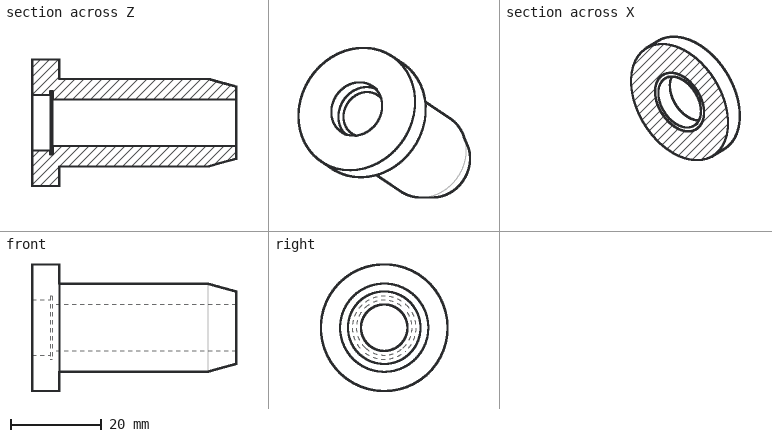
import cadquery as cq

total_length = 45.0
flange_diameter = 28.0
flange_thickness = 6.0
body_diameter = 19.47
tip_length = 6.3
tip_diameter = 16.0
bore_diameter = 10.2
recess_diameter = 12.2
recess_depth = 4.5
groove_diameter = 14.0
groove_width = 0.5
seam_angle = 135.0

flange_radius = flange_diameter / 2
body_radius = body_diameter / 2
tip_start = total_length - tip_length
tip_radius = tip_diameter / 2


def make_outer_body():
    """Flange, cylindrical shank and conical lead-in tip, revolved about X."""
    half_section = [
        (0, 0),
        (0, flange_radius),
        (flange_thickness, flange_radius),
        (flange_thickness, body_radius),
        (tip_start, body_radius),
        (total_length, tip_radius),
        (total_length, 0),
    ]
    outline = cq.Workplane("XY").polyline(half_section).close()
    return outline.revolve(360, (0, 0, 0), (1, 0, 0))


def axial_cylinder(diameter, start, end):
    """Cylinder on the part axis between two X positions."""
    return cq.Workplane("YZ", origin=(start, 0, 0)).circle(diameter / 2).extrude(end - start)


through_bore = axial_cylinder(bore_diameter, 0, total_length)
recess = axial_cylinder(recess_diameter, 0, recess_depth)
groove = axial_cylinder(groove_diameter, recess_depth - groove_width, recess_depth)

bushing = make_outer_body().cut(through_bore).cut(recess).cut(groove)
result = bushing.rotate((0, 0, 0), (1, 0, 0), seam_angle)